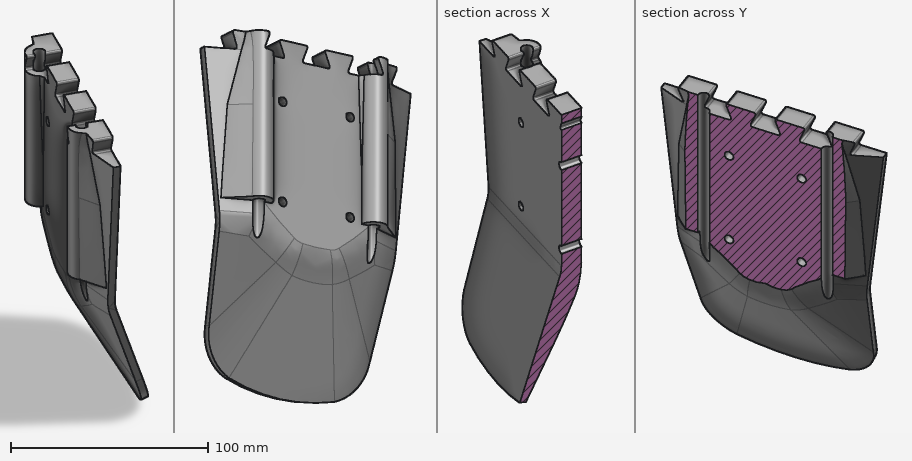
import cadquery as cq
import math

TOP_Z = 179.5
SHOULDER_Z = 169.9
BEND_Z = 78.7
BEND_ANGLE = 17.9
EDGE_DEPTH = 4.0
CORE_DEPTH = 11.9
SHOULDER_HALF_WIDTH = 63.2
BEND_HALF_WIDTH = 53.5
WING_WIDTH = 20.8
BLEND_RADIUS = 37.7
BACK_BLEND_RADIUS = 21.5

BLADE_LENGTH = 81.3
CORNER_TOP = (49.2, 52.8)
CORNER_MIDDLE = (43.6, 68.2)
CORNER_END = (32.3, 76.7)

CREST_CORNER = (17.6, 66.6)
CREST_KNEE = (13.6, 64.6)
CREST_ARC_END = (9.3, 63.4)
CREST_BOTTOM_Z = 62.7

BOSS_X = 35.0
BOSS_DEPTH = 11.7
BOSS_RADIUS = 7.4
BOSS_HOLE_DIAMETER = 6.3
BOSS_BOTTOM_Z = 90.1
WEB_MIDDLE_Z = 140.0
WEB_BOTTOM = ((53.5, 4.5), (41.5, 15.0))
WEB_MIDDLE = ((51.7, 7.0), (41.1, 15.6))
WEB_TOP = ((43.5, 11.5), (40.8, 16.2))
WEB_ROOT = ((35.0, 15.0), (35.0, 1.8), (50.3, 1.8))
WEB_ROOT_TOP = ((35.0, 15.0), (35.0, 1.8), (43.5, 1.8))
GUSSET_BOTTOM_Z = 122.1
GUSSET_TOP = ((25.5, 11.9), (28.0, 14.0), (30.5, 11.9))
GUSSET_BOTTOM = ((27.5, 11.9), (27.8, 12.5), (30.5, 11.9))

TOOTH_COUNT = 4
TOOTH_PITCH = 27.8
TOOTH_TOP_HALF_WIDTH = 9.0
TOOTH_ROOT_HALF_WIDTH = 5.2
TOOTH_RADIUS = 1.0
BAR_HALF_WIDTH = 51.2
BAR_TOP_EDGE_DEPTH = 10.6
SCREW_DIAMETER = 4.8
SCREW_X = 20.7
SCREW_HEIGHTS = (92.3, 146.3)

LEAN = math.radians(BEND_ANGLE)
SHOULDER_CREST_X = SHOULDER_HALF_WIDTH - WING_WIDTH
BEND_CREST_X = BEND_HALF_WIDTH - WING_WIDTH


def bend_z(depth):
    """Height of the plane that halves the bend, at a depth in front of the back."""
    return BEND_Z - depth * math.tan(LEAN / 2)


def plate_section(half_width, edge_depth, crest_x, height_at):
    """Closed section: flat back, thin edges and sloping wings."""
    right = [(half_width, 0), (half_width, edge_depth), (crest_x, CORE_DEPTH)]
    outline = right + [(-x, depth) for x, depth in reversed(right)]
    points = [cq.Vector(x, -depth, height_at(depth)) for x, depth in outline]
    return cq.Wire.makePolygon(points, close=True)


def make_upper_plate():
    shoulder = plate_section(SHOULDER_HALF_WIDTH, EDGE_DEPTH, SHOULDER_CREST_X, lambda depth: SHOULDER_Z)
    bend = plate_section(BEND_HALF_WIDTH, EDGE_DEPTH, BEND_CREST_X, bend_z)
    return cq.Workplane(obj=cq.Solid.makeLoft([shoulder, bend], True))


def make_tooth_bar():
    """Bar above the shoulder from which the teeth are shaped; it thickens upwards."""
    wing_slope = (CORE_DEPTH - EDGE_DEPTH) / WING_WIDTH
    root_depth = EDGE_DEPTH + wing_slope * (SHOULDER_HALF_WIDTH - BAR_HALF_WIDTH)
    top = plate_section(BAR_HALF_WIDTH, BAR_TOP_EDGE_DEPTH, WEB_TOP[0][0], lambda depth: TOP_Z)
    root = plate_section(BAR_HALF_WIDTH, root_depth, SHOULDER_CREST_X, lambda depth: SHOULDER_Z)
    return cq.Workplane(obj=cq.Solid.makeLoft([root, top], True))


def mirrored_wire(side, bottom, place):
    """Closed wire from start, corner, arc middle and arc end of the right-hand side."""
    start, corner, middle, end = (place(x, v) for x, v in side)
    start_l, corner_l, middle_l, end_l = (place(-x, v) for x, v in side)
    return cq.Wire.assembleEdges([
        cq.Edge.makeLine(start, corner),
        cq.Edge.makeThreePointArc(corner, middle, end),
        cq.Edge.makeThreePointArc(end, place(0, bottom), end_l),
        cq.Edge.makeThreePointArc(end_l, middle_l, corner_l),
        cq.Edge.makeLine(corner_l, start_l),
        cq.Edge.makeLine(start_l, start),
    ])


def make_blade():
    """Leaning slab with a crowned front that rises to the flat middle."""
    def on_slope(depth):
        def place(x, slope):
            y = slope * math.sin(LEAN) - depth * math.cos(LEAN)
            z = BEND_Z - slope * math.cos(LEAN) - depth * math.sin(LEAN)
            return cq.Vector(x, y, z)
        return place

    def on_front(x, z):
        return cq.Vector(x, -CORE_DEPTH, z)

    def slab_wire(depth):
        bend_start = (BEND_HALF_WIDTH, -depth * math.tan(LEAN / 2))
        side = [bend_start, CORNER_TOP, CORNER_MIDDLE, CORNER_END]
        return mirrored_wire(side, BLADE_LENGTH, on_slope(depth))

    crest_start = (BEND_CREST_X, bend_z(CORE_DEPTH))
    crest_side = [crest_start, CREST_CORNER, CREST_KNEE, CREST_ARC_END]
    crest = mirrored_wire(crest_side, CREST_BOTTOM_Z, on_front)
    slab = cq.Solid.makeLoft([slab_wire(0), slab_wire(EDGE_DEPTH)], True)
    crown = cq.Solid.makeLoft([slab_wire(EDGE_DEPTH), crest], True)
    return cq.Workplane(obj=slab).union(cq.Workplane(obj=crown))


def soften_bend(body):
    """Round the front ridge and the back bend between the plate and the blade."""
    margin = 1.8
    ridge = cq.selectors.BoxSelector(
        (-BEND_HALF_WIDTH, -CORE_DEPTH - margin, CREST_BOTTOM_Z - margin),
        (BEND_HALF_WIDTH, -EDGE_DEPTH - margin, BEND_Z),
    )
    back_bend = cq.selectors.BoxSelector(
        (-margin, -margin, BEND_Z - margin), (margin, margin, BEND_Z + margin)
    )
    body = body.edges(ridge).fillet(BLEND_RADIUS)
    return body.edges(back_bend).fillet(BACK_BLEND_RADIUS)


def depth_loft(lower, lower_z, upper, upper_z):
    """Ruled solid between two level (X, depth) polygons."""
    wires = []
    for outline, z in ((lower, lower_z), (upper, upper_z)):
        points = [cq.Vector(x, -depth, z) for x, depth in outline]
        wires.append(cq.Wire.makePolygon(points, close=True))
    return cq.Workplane(obj=cq.Solid.makeLoft(wires, True))


def make_boss():
    """Right-hand boss with its outer web and its tapering inner gusset."""
    tube = (
        cq.Workplane("XY", origin=(BOSS_X, -BOSS_DEPTH, BOSS_BOTTOM_Z))
        .circle(BOSS_RADIUS)
        .extrude(TOP_Z - BOSS_BOTTOM_Z)
    )
    low = WEB_BOTTOM + WEB_ROOT
    middle = WEB_MIDDLE + WEB_ROOT
    high = WEB_TOP + WEB_ROOT_TOP
    return (
        tube
        .union(depth_loft(low, BOSS_BOTTOM_Z, middle, WEB_MIDDLE_Z))
        .union(depth_loft(middle, WEB_MIDDLE_Z, high, TOP_Z))
        .union(depth_loft(GUSSET_BOTTOM, GUSSET_BOTTOM_Z, GUSSET_TOP, TOP_Z))
    )


def shape_teeth(body):
    """Keep only what lies inside a comb outline with rounded dovetail teeth."""
    side = 1.5 * SHOULDER_HALF_WIDTH
    reach = BLADE_LENGTH
    outline = [(-side, -1.8), (-side, SHOULDER_Z)]
    for index in range(TOOTH_COUNT):
        x = (index - (TOOTH_COUNT - 1) / 2) * TOOTH_PITCH
        outline += [
            (x - TOOTH_ROOT_HALF_WIDTH, SHOULDER_Z),
            (x - TOOTH_TOP_HALF_WIDTH, TOP_Z),
            (x + TOOTH_TOP_HALF_WIDTH, TOP_Z),
            (x + TOOTH_ROOT_HALF_WIDTH, SHOULDER_Z),
        ]
    outline += [(side, SHOULDER_Z), (side, -1.8)]
    tooth_corners = cq.selectors.BoxSelector(
        (-SHOULDER_HALF_WIDTH, -1.8, BEND_Z), (SHOULDER_HALF_WIDTH, 1.8, TOP_Z + 1.8)
    )
    comb = (
        cq.Workplane("XZ")
        .polyline(outline)
        .close()
        .extrude(reach, both=True)
        .edges("|Y")
        .edges(tooth_corners)
        .fillet(TOOTH_RADIUS)
    )
    return body.intersect(comb)


def cut_holes(body):
    """Long boss bores, which run out as grooves in the blade, and screw holes."""
    bores = (
        cq.Workplane("XY")
        .pushPoints([(-BOSS_X, -BOSS_DEPTH), (BOSS_X, -BOSS_DEPTH)])
        .circle(BOSS_HOLE_DIAMETER / 2)
        .extrude(TOP_Z)
    )
    screws = (
        cq.Workplane("XZ")
        .pushPoints([(x, z) for x in (-SCREW_X, SCREW_X) for z in SCREW_HEIGHTS])
        .circle(SCREW_DIAMETER / 2)
        .extrude(CORE_DEPTH)
    )
    return body.cut(bores).cut(screws)


body = soften_bend(make_upper_plate().union(make_blade()))
boss = make_boss()
for upper_part in (make_tooth_bar(), boss, boss.mirror("YZ")):
    body = body.union(shape_teeth(upper_part))
result = cut_holes(body)